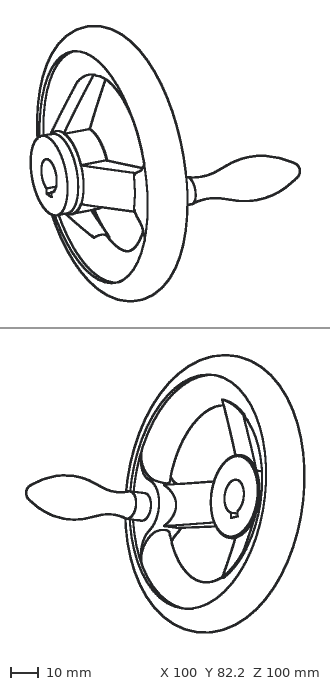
import cadquery as cq
import math


rim_radius = 50.0
rim_width = 15.0
rim_front = 18.0
rim_back = rim_front + rim_width
rim_middle = rim_front + rim_width / 2
rim_round_centre = rim_radius - rim_width / 2

recess_depth = 1.5
recess_radius = 42.2
web_front = rim_front + recess_depth
web_back = rim_back - recess_depth
nose_start_radius = 34.7
nose_start_half_width = 3.6
opening_radius = 31.9

flange_radius = 14.5
flange_length = 4.3
hub_radius = 15.0
hub_length = 17.0
hub_chamfer = 0.5
collar_radius = 15.2
collar_end = 6.1
bore_radius = 6.0
keyway_width = 4.0
keyway_depth = 7.6

spoke_count = 3
spoke_width = 15.0
spoke_root_radius = 10.0
spoke_end_radius = 34.0
spoke_front_end = rim_middle - 1.5
spoke_back_end = rim_middle + 4.0

handle_offset = 36.0
boss_radius = 10.0
boss_blend_radius = 9.0

shank_radius = 5.0
shank_end = 38.0
neck_start_radius = 4.9
neck_middle = 44.0
neck_radius = 4.1
grip_start = 51.8
grip_start_radius = 5.5
grip_start_slope = 0.37
grip_middle = 62.5
grip_radius = 7.9
grip_end = 81.0
grip_end_radius = 2.5
grip_end_slope = -0.62
handle_tip = 82.2


def revolve_about_wheel_axis(profile):
    return profile.revolve(360, (0, 0, 0), (0, 1, 0))


def make_rim():
    profile = (
        cq.Workplane("XY")
        .moveTo(rim_round_centre, rim_front)
        .threePointArc((rim_radius, rim_middle), (rim_round_centre, rim_back))
        .lineTo(recess_radius, rim_back)
        .lineTo(recess_radius, web_back)
        .lineTo(nose_start_radius, rim_middle + nose_start_half_width)
        .threePointArc(
            (opening_radius, rim_middle),
            (nose_start_radius, rim_middle - nose_start_half_width),
        )
        .lineTo(recess_radius, web_front)
        .lineTo(recess_radius, rim_front)
        .close()
    )
    return revolve_about_wheel_axis(profile)


def make_hub():
    profile = (
        cq.Workplane("XY")
        .moveTo(0, 0)
        .lineTo(flange_radius, 0)
        .lineTo(flange_radius, flange_length)
        .lineTo(collar_radius, collar_end)
        .lineTo(hub_radius, collar_end)
        .lineTo(hub_radius, hub_length - hub_chamfer)
        .lineTo(hub_radius - hub_chamfer, hub_length)
        .lineTo(0, hub_length)
        .close()
    )
    return revolve_about_wheel_axis(profile)


def make_spokes():
    profile = (
        cq.Workplane("XY")
        .moveTo(spoke_root_radius, collar_end)
        .lineTo(collar_radius, collar_end)
        .lineTo(spoke_end_radius, spoke_front_end)
        .lineTo(spoke_end_radius, spoke_back_end)
        .lineTo(hub_radius, hub_length - hub_chamfer)
        .lineTo(spoke_root_radius, hub_length - hub_chamfer)
        .close()
    )
    shell = revolve_about_wheel_axis(profile)
    bar = cq.Workplane("XY").box(
        spoke_end_radius, rim_back, spoke_width, centered=(False, False, True)
    )
    bars = bar
    for index in range(1, spoke_count):
        bars = bars.union(bar.rotate((0, 0, 0), (0, 1, 0), index * 360 / spoke_count))
    return shell.intersect(bars)


def make_boss():
    to_wheel = recess_radius - boss_blend_radius
    to_boss = boss_radius + boss_blend_radius
    blend_angle = math.acos(
        (to_wheel**2 + handle_offset**2 - to_boss**2) / (2 * to_wheel * handle_offset)
    )
    blend_x = to_wheel * math.cos(blend_angle)
    blend_z = to_wheel * math.sin(blend_angle)
    rim_touch = (recess_radius * math.cos(blend_angle), recess_radius * math.sin(blend_angle))
    share = boss_blend_radius / to_boss
    boss_touch = (blend_x + share * (handle_offset - blend_x), blend_z * (1 - share))

    start_angle = math.atan2(boss_touch[1] - blend_z, boss_touch[0] - blend_x)
    middle_angle = (start_angle + blend_angle) / 2
    blend_middle = (
        blend_x + boss_blend_radius * math.cos(middle_angle),
        blend_z + boss_blend_radius * math.sin(middle_angle),
    )

    def mirrored(point):
        return (point[0], -point[1])

    return (
        cq.Workplane("XZ", origin=(0, web_front, 0))
        .moveTo(*rim_touch)
        .threePointArc(blend_middle, boss_touch)
        .threePointArc((handle_offset - boss_radius, 0), mirrored(boss_touch))
        .threePointArc(mirrored(blend_middle), mirrored(rim_touch))
        .threePointArc((recess_radius, 0), rim_touch)
        .close()
        .extrude(web_front - web_back)
    )


def make_handle():
    tip_height = handle_tip - grip_end
    tip_radius = (grip_end_radius**2 + tip_height**2) / (2 * tip_height)
    tip_angle = math.asin(grip_end_radius / tip_radius) / 2
    tip_middle = (
        tip_radius * math.sin(tip_angle),
        handle_tip - tip_radius * (1 - math.cos(tip_angle)),
    )
    profile = (
        cq.Workplane("XY")
        .moveTo(0, rim_middle)
        .lineTo(shank_radius, rim_middle)
        .lineTo(shank_radius, shank_end)
        .lineTo(neck_start_radius, shank_end)
        .threePointArc((neck_radius, neck_middle), (grip_start_radius, grip_start))
        .spline(
            [(grip_radius, grip_middle), (grip_end_radius, grip_end)],
            tangents=[(grip_start_slope, 1), (grip_end_slope, 1)],
            includeCurrent=True,
        )
        .threePointArc(tip_middle, (0, handle_tip))
        .close()
    )
    return revolve_about_wheel_axis(profile).translate((handle_offset, 0, 0))


def make_bore():
    bore = cq.Workplane("XZ").circle(bore_radius).extrude(-hub_length)
    keyway = (
        cq.Workplane("XZ")
        .center(0, -keyway_depth / 2)
        .rect(keyway_width, keyway_depth)
        .extrude(-hub_length)
    )
    return bore.union(keyway)


wheel = make_rim().union(make_spokes()).union(make_boss()).union(make_hub())
result = wheel.union(make_handle()).cut(make_bore())